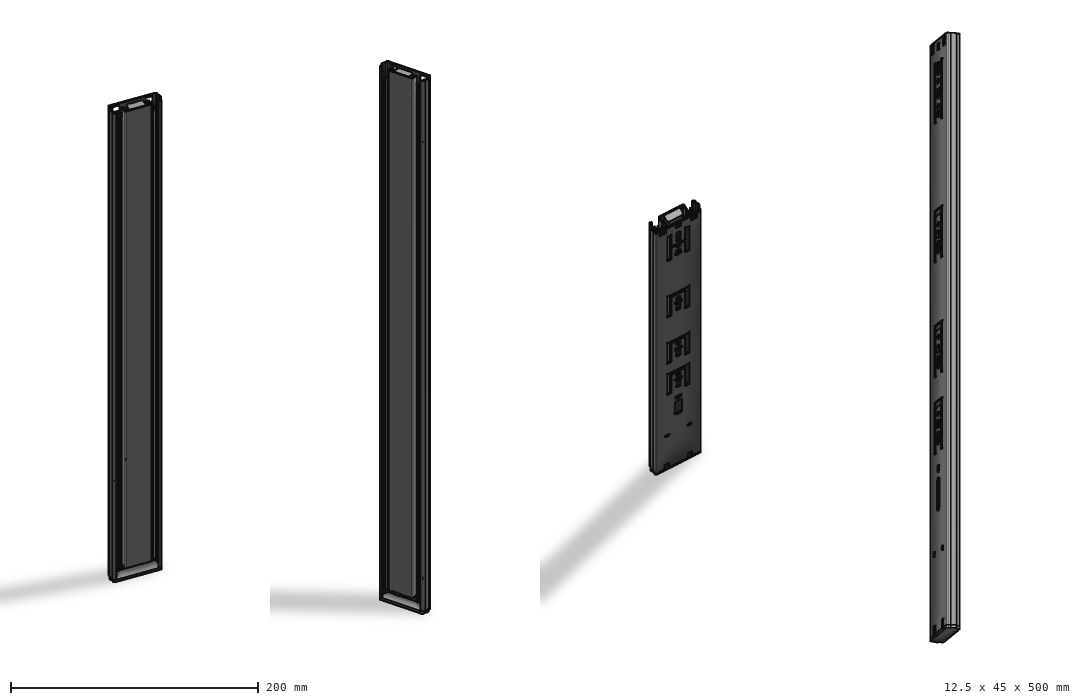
import cadquery as cq
import math


length = 500.0
depth = 12.5
overall_width = 45.0
sheet = 1.2
plate_thickness = 2.5

flange_width = 42.5
flange_depth = 11.5
lip_reach = 1.5
bend_radius = 1.25
raceway_radius = 3.15
raceway_x = 5.95

middle_bottom = 10.0
middle_top = 490.0
middle_width = 34.5
middle_foot_x = 1.5
middle_tip_x = 10.5
crown_width = 11.5
crown_rise = 3.0
crown_slope = math.radians(31.7)

inner_bottom = 12.5
inner_width = 23.5
inner_flange_x = 6.5
inner_bend_radius = 1.0

stop_width = 15.0
stop_x = 4.5
stop_chamfer = 1.5
retainer_width = 29.0
retainer_tip_x = 9.5
retainer_sheet = 0.6

hole_small = 4.2
hole_slot = 4.5
hole_medium = 6.0
hole_large = 7.0
countersink_hole = 5.0
upright = 90
slot_length = 11.0
long_slot_length = 28.0
long_slot_z = 118.0
leg_inner_y = 6.25
leg_outer_y = 10.5
tongue_height = 43.0
tongue_tops = (358.0, 261.5, 197.0)
top_gap = 5.5
double_tongue_z = (431.5, 482.0)
double_tongue_bar = (455.5, 458.5)
leg_corner_radius = 1.5
small_holes = (344.5, 250.0, 185.5, 443.5)
slot_holes = (465.0, 452.5)
medium_holes = (437.5, 139.5)
countersunk_holes = (336.5, 240.0)
large_hole_z = 177.0
slots = (475.5, 325.5, 229.0, 165.0)
pilot_y = 10.25
pilot_z = 70.0
window_y = (11.5, 17.5)
window_z = (491.5, 498.0)
square_hole = 5.0
square_hole_z = 494.0

press_y = 10.5
press_width = 4.5
press_z = (plate_thickness, 10.0)
press_depth = 0.6


def span_box(x_span, y_span, z_span):
    """Axis-aligned box between the given limits."""
    sizes = [span[1] - span[0] for span in (x_span, y_span, z_span)]
    corner = (x_span[0], y_span[0], z_span[0])
    return cq.Workplane("XY").box(*sizes, centered=False).translate(corner)


def web_plane():
    """Workplane on the outer web: local x is Y, local y is Z, normal is +X."""
    return cq.Workplane("YZ")


def through_holes(points, diameter):
    """Cylinders through the outer web at the given Y, Z points."""
    return web_plane().pushPoints(points).circle(diameter / 2).extrude(sheet)


def on_centre(heights):
    """Points on the centre line of the web at the given heights."""
    return [(0, z) for z in heights]


def raceway(side, radius):
    """Round bar that follows the ball raceway of the flange on one side."""
    centre_y = side * (overall_width / 2 - raceway_radius)
    return cq.Workplane("XY").center(raceway_x, centre_y).circle(radius).extrude(length)


def outer_outline():
    """Filled outer section: a rounded block with a raceway bulging out of each flange."""
    half = flange_width / 2
    block = span_box((0, flange_depth), (-half, half), (0, length))
    block = block.edges("|Z").fillet(bend_radius)
    for side in (1, -1):
        block = block.union(raceway(side, raceway_radius))
    return block


def end_slice(z_span):
    """Box wider than the outer section that spans the given heights."""
    return span_box((0, depth), (-overall_width / 2, overall_width / 2), z_span)


def make_end_plate():
    """Plate that closes the lower end of the outer rail, with the same outline."""
    return outer_outline().intersect(end_slice((0, plate_thickness)))


def outer_channel():
    """Lipped channel above the end plate, hollowed to the sheet thickness."""
    cavity_half = flange_width / 2 - sheet
    mouth_half = cavity_half - lip_reach
    z_span = (0, length)
    channel = outer_outline().cut(end_slice((0, plate_thickness)))
    channel = channel.cut(span_box((sheet, flange_depth - sheet), (-cavity_half, cavity_half), z_span))
    channel = channel.cut(span_box((sheet, flange_depth), (-mouth_half, mouth_half), z_span))
    for side in (1, -1):
        channel = channel.cut(raceway(side, raceway_radius - sheet))
    return channel


def tongue_cut(top):
    """U-shaped cut that frees a tongue, with its bar at the top."""
    bottom = top - tongue_height
    web = (0, sheet)
    cut = span_box(web, (-leg_outer_y, leg_outer_y), (bottom, top))
    tongue = span_box(web, (-leg_inner_y, leg_inner_y), (bottom, top - top_gap))
    return cut.cut(tongue)


def double_tongue_cut():
    """H-shaped cut that frees two tongues facing each other."""
    web = (0, sheet)
    cut = span_box(web, (-leg_outer_y, leg_outer_y), double_tongue_z)
    cut = cut.edges("|X").fillet(leg_corner_radius)
    inner_span = (-leg_inner_y, leg_inner_y)
    lower_tongue = span_box(web, inner_span, (double_tongue_z[0], double_tongue_bar[0]))
    upper_tongue = span_box(web, inner_span, (double_tongue_bar[1], double_tongue_z[1]))
    return cut.cut(lower_tongue).cut(upper_tongue)


def vertical_slots(heights, slot_size, width):
    """Round-ended cutters along Z, centred on the web at the given heights."""
    return web_plane().pushPoints(on_centre(heights)).slot2D(slot_size, width, upright).extrude(sheet)


def countersinks():
    """Cones that taper from the large to the countersink diameter through the web."""
    cones = cq.Workplane("YZ")
    for z in countersunk_holes:
        cone = cq.Solid.makeCone(
            hole_large / 2, countersink_hole / 2, sheet, cq.Vector(0, 0, z), cq.Vector(1, 0, 0)
        )
        cones = cones.add(cone)
    return cones.combine()


def make_outer_rail():
    """Lipped channel with its tongues, holes, windows and pressed stops."""
    rail = outer_channel()

    for top in tongue_tops:
        rail = rail.cut(tongue_cut(top))
    rail = rail.cut(double_tongue_cut())

    rail = rail.cut(through_holes(on_centre(small_holes), hole_small))
    rail = rail.cut(through_holes(on_centre(slot_holes), hole_slot))
    rail = rail.cut(through_holes(on_centre(medium_holes), hole_medium))
    rail = rail.cut(through_holes([(0, large_hole_z)], hole_large))
    rail = rail.cut(through_holes([(pilot_y, pilot_z), (-pilot_y, pilot_z)], hole_small))
    rail = rail.cut(countersinks())
    rail = rail.cut(vertical_slots(slots, slot_length, hole_slot))
    rail = rail.cut(vertical_slots([long_slot_z], long_slot_length, hole_large))

    rail = rail.cut(web_plane().center(0, square_hole_z).rect(square_hole, square_hole).extrude(sheet))
    window = span_box((0, sheet), window_y, window_z)
    rail = rail.cut(window).cut(window.mirror("XZ"))

    for side in (1, -1):
        y_span = (side * press_y - press_width / 2, side * press_y + press_width / 2)
        bump = span_box((sheet, sheet + press_depth), y_span, press_z)
        rail = rail.union(bump).cut(bump.translate((-sheet, 0, 0)))
    return rail


def make_middle_rail():
    """Channel whose web is raised in a flat crown with sloping sides."""
    crown_half = crown_width / 2
    foot_half = crown_half + crown_rise / math.tan(crown_slope)
    half = middle_width / 2
    crown_x = middle_foot_x + crown_rise
    shift = sheet * math.tan(crown_slope / 2)
    upper = [
        (crown_x, crown_half),
        (middle_foot_x, foot_half),
        (middle_foot_x, half),
        (middle_tip_x, half),
        (middle_tip_x, half - sheet),
        (middle_foot_x + sheet, half - sheet),
        (middle_foot_x + sheet, foot_half + shift),
        (crown_x + sheet, crown_half + shift),
    ]
    lower = [(x, -y) for x, y in reversed(upper)]
    section = cq.Workplane("XY").polyline(upper + lower).close()
    return section.extrude(middle_top - middle_bottom).translate((0, 0, middle_bottom))


def make_inner_rail():
    """Plain channel that opens toward the middle rail."""
    half = inner_width / 2
    z_span = (inner_bottom, length)
    rail = span_box((inner_flange_x, depth), (-half, half), z_span)
    rail = rail.edges("|Z and >X").fillet(inner_bend_radius)
    cavity_half = half - sheet
    return rail.cut(span_box((inner_flange_x, depth - sheet), (-cavity_half, cavity_half), z_span))


def make_end_stop():
    """Block that sits on the end of the middle rail, inside the inner rail."""
    half = stop_width / 2
    stop = span_box((stop_x, depth - sheet), (-half, half), (middle_top, length))
    return stop.edges("|Z and <X").chamfer(stop_chamfer)


def make_retainer():
    """U-shaped ball retainer that lies on the crown of the middle rail and lines its flanges."""
    web_x = middle_foot_x + crown_rise + sheet
    half = retainer_width / 2
    z_span = (middle_bottom, middle_top)
    retainer = span_box((web_x, retainer_tip_x), (-half, half), z_span)
    hollow_half = half - retainer_sheet
    return retainer.cut(
        span_box((web_x + retainer_sheet, retainer_tip_x), (-hollow_half, hollow_half), z_span)
    )


outer_rail = make_outer_rail()
end_plate = make_end_plate()
middle_rail = make_middle_rail()
inner_rail = make_inner_rail()
end_stop = make_end_stop()
retainer = make_retainer()

result = cq.Compound.makeCompound(
    [
        outer_rail.val(),
        end_plate.val(),
        middle_rail.val(),
        inner_rail.val(),
        end_stop.val(),
        retainer.val(),
    ]
)